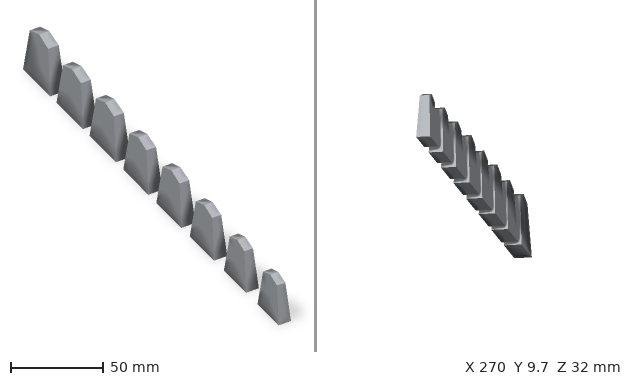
import cadquery as cq
import math


OVERALL_LENGTH = 270.0

KING = (28.5, 32.0, 9.7)
BISHOP = (27.8, 31.0, 9.2)
ROOK = BISHOP
GOLD = (26.5, 30.0, 9.0)
SILVER = GOLD
KNIGHT = (25.6, 29.0, 8.5)
LANCE = (23.5, 27.8, 8.0)
PAWN = (22.5, 26.7, 7.8)
ROW = [KING, BISHOP, ROOK, GOLD, SILVER, KNIGHT, LANCE, PAWN]

SIDE_LEAN = math.radians(9.0)
ROOF_SLOPE = math.radians(19.0)
FACE_LEAN = math.radians(3.0)

PITCH = (OVERALL_LENGTH - (KING[0] + PAWN[0]) / 2) / (len(ROW) - 1)


def front_outline(width, height):
    """Five-sided outline in the XZ plane, symmetric about X = 0."""
    half_base = width / 2
    shoulder_height = (height - half_base * math.tan(ROOF_SLOPE)) / (
        1 - math.tan(SIDE_LEAN) * math.tan(ROOF_SLOPE)
    )
    half_shoulder = half_base - shoulder_height * math.tan(SIDE_LEAN)
    return cq.Workplane("XZ").polyline([
        (-half_base, 0),
        (half_base, 0),
        (half_shoulder, shoulder_height),
        (0, height),
        (-half_shoulder, shoulder_height),
    ]).close()


def side_outline(height, thickness):
    """Trapezium, narrower at the top, from the front face to the back face."""
    inset = height * math.tan(FACE_LEAN)
    return cq.Workplane("YZ").polyline([
        (0, 0),
        (thickness, 0),
        (thickness - inset, height),
        (inset, height),
    ]).close()


def shogi_piece(width, height, thickness):
    """One piece, centred on X = 0, tapering towards the top on all four sides."""
    slab = front_outline(width, height).extrude(-thickness)
    taper = side_outline(height, thickness).extrude(width / 2, both=True)
    return slab.intersect(taper)


pieces = []
for index, size in enumerate(ROW):
    centre_x = KING[0] / 2 + index * PITCH
    pieces.append(shogi_piece(*size).translate((centre_x, 0, 0)))

result = cq.Compound.makeCompound([piece.val() for piece in pieces])